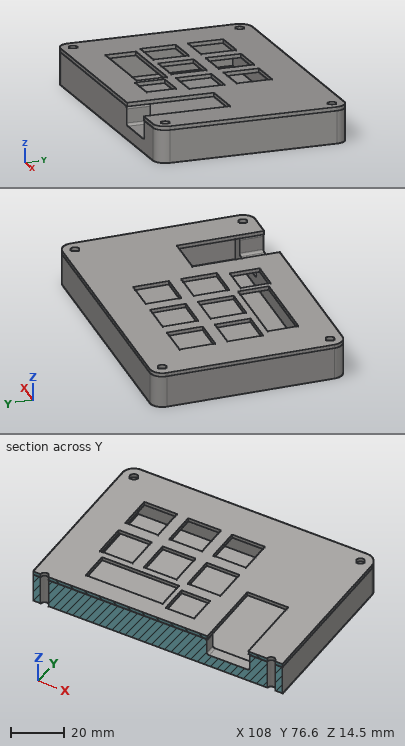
import cadquery as cq

LENGTH = 108.0
WIDTH = 76.6
HEIGHT = 14.5
CORNER_RADIUS = 5.0

PLATE_THICKNESS = 1.5
CASE_HEIGHT = HEIGHT - PLATE_THICKNESS
WALL = 9.5
FLOOR_THICKNESS = 1.5
CAVITY_LENGTH = LENGTH - 2 * WALL
CAVITY_WIDTH = WIDTH - 2 * WALL

SCREW_DIAMETER = 3.3
SCREW_SPACING_X = LENGTH - 2 * CORNER_RADIUS
SCREW_SPACING_Y = WIDTH - 2 * CORNER_RADIUS

KEY_SIZE = 14.2
KEY_PITCH = 19.0
KEY_COLUMNS = 3
KEY_ROWS = 2
KEY_GRID_X = -12.2
KEY_GRID_Y = 6.0

DISPLAY_LENGTH = 33.3
DISPLAY_WIDTH = 12.2
DISPLAY_X = -19.1
DISPLAY_Y = -19.3
ENCODER_LENGTH = 12.3
ENCODER_WIDTH = 11.9
ENCODER_X = 5.8
ENCODER_Y = -21.0

SLOT_WIDTH = 17.6
SLOT_X = 30.4
SLOT_DEPTH = 34.7

NOTCH_WIDTH = 18.6
NOTCH_X = 30.5
NOTCH_FLOOR = 5.5
NOTCH_RADIUS = 1.0


def rounded_slab(height, base_z):
    """Rectangular slab with rounded vertical corners."""
    return (
        cq.Workplane("XY", origin=(0, 0, base_z))
        .rect(LENGTH, WIDTH)
        .extrude(height)
        .edges("|Z")
        .fillet(CORNER_RADIUS)
    )


def screw_holes():
    """Four corner holes running through both bodies."""
    return (
        cq.Workplane("XY")
        .rect(SCREW_SPACING_X, SCREW_SPACING_Y, forConstruction=True)
        .vertices()
        .circle(SCREW_DIAMETER / 2)
        .extrude(HEIGHT)
    )


def window(length, width, x, y):
    """Rectangular cutter through the plate."""
    return cq.Workplane("XY", origin=(x, y, CASE_HEIGHT)).rect(length, width).extrude(PLATE_THICKNESS)


def key_windows():
    """Grid of switch windows."""
    return (
        cq.Workplane("XY", origin=(KEY_GRID_X, KEY_GRID_Y, CASE_HEIGHT))
        .rarray(KEY_PITCH, KEY_PITCH, KEY_COLUMNS, KEY_ROWS)
        .rect(KEY_SIZE, KEY_SIZE)
        .extrude(PLATE_THICKNESS)
    )


def notch():
    """Front wall cutter with rounded bottom corners and a rounded lip on each side."""
    half = NOTCH_WIDTH / 2
    radius = NOTCH_RADIUS
    lip_z = CASE_HEIGHT - radius
    return (
        cq.Workplane("XZ", origin=(NOTCH_X, -WIDTH / 2, 0))
        .moveTo(-half - radius, CASE_HEIGHT)
        .radiusArc((-half, lip_z), radius)
        .lineTo(-half, NOTCH_FLOOR + radius)
        .radiusArc((-half + radius, NOTCH_FLOOR), -radius)
        .lineTo(half - radius, NOTCH_FLOOR)
        .radiusArc((half, NOTCH_FLOOR + radius), -radius)
        .lineTo(half, lip_z)
        .radiusArc((half + radius, CASE_HEIGHT), radius)
        .close()
        .extrude(-WALL)
    )


def make_case():
    """Open-topped tray with a notch in its front wall."""
    cavity = (
        cq.Workplane("XY", origin=(0, 0, FLOOR_THICKNESS))
        .rect(CAVITY_LENGTH, CAVITY_WIDTH)
        .extrude(CASE_HEIGHT - FLOOR_THICKNESS)
    )
    return rounded_slab(CASE_HEIGHT, 0).cut(cavity).cut(notch()).cut(screw_holes())


def make_plate():
    """Flat cover with windows for the keys, display and encoder, and an open slot."""
    slot_y = (SLOT_DEPTH - WIDTH) / 2
    return (
        rounded_slab(PLATE_THICKNESS, CASE_HEIGHT)
        .cut(key_windows())
        .cut(window(DISPLAY_LENGTH, DISPLAY_WIDTH, DISPLAY_X, DISPLAY_Y))
        .cut(window(ENCODER_LENGTH, ENCODER_WIDTH, ENCODER_X, ENCODER_Y))
        .cut(window(SLOT_WIDTH, SLOT_DEPTH, SLOT_X, slot_y))
        .cut(screw_holes())
    )


case = make_case()
plate = make_plate()

result = cq.Compound.makeCompound([case.val(), plate.val()])